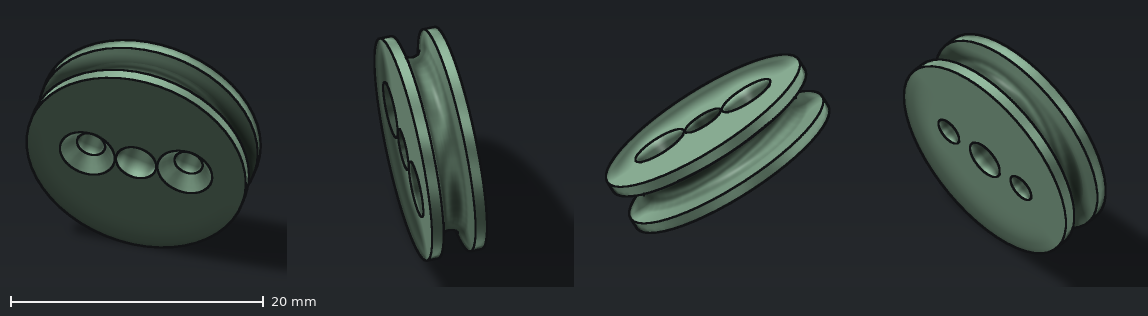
import cadquery as cq
import math

wheel_diameter = 18.0
wheel_width = 4.5

groove_radius = 1.0
groove_bottom_diameter = 14.0
groove_wall_angle = math.radians(15.0)

axle_hole_diameter = 3.3
screw_hole_diameter = 2.3
screw_hole_offset = 4.0
countersink_diameter = 4.5
countersink_angle = math.radians(90.0)

rim_radius = wheel_diameter / 2
front_face_y = -wheel_width / 2


def make_wheel():
    """Revolve the half section, drawn as (radius, Y), about the Y axis."""
    half_width = wheel_width / 2
    groove_bottom = groove_bottom_diameter / 2
    groove_center = groove_bottom + groove_radius
    tangent_radius = groove_center - groove_radius * math.sin(groove_wall_angle)
    tangent_y = groove_radius * math.cos(groove_wall_angle)
    groove_mouth_y = tangent_y + (rim_radius - tangent_radius) * math.tan(groove_wall_angle)

    section = (
        cq.Workplane("XY")
        .moveTo(0, -half_width)
        .lineTo(rim_radius, -half_width)
        .lineTo(rim_radius, -groove_mouth_y)
        .lineTo(tangent_radius, -tangent_y)
        .threePointArc((groove_bottom, 0), (tangent_radius, tangent_y))
        .lineTo(rim_radius, groove_mouth_y)
        .lineTo(rim_radius, half_width)
        .lineTo(0, half_width)
        .close()
    )
    return section.revolve(360, (0, 0, 0), (0, 1, 0))


def make_through_hole(x, diameter):
    """Cylinder through the full width of the wheel."""
    start = cq.Vector(x, front_face_y, 0)
    return cq.Solid.makeCylinder(diameter / 2, wheel_width, start, cq.Vector(0, 1, 0))


def make_countersink(x):
    """Cone narrowing from the front face down to the screw hole."""
    outer_radius = countersink_diameter / 2
    inner_radius = screw_hole_diameter / 2
    depth = (outer_radius - inner_radius) / math.tan(countersink_angle / 2)
    start = cq.Vector(x, front_face_y, 0)
    return cq.Solid.makeCone(outer_radius, inner_radius, depth, start, cq.Vector(0, 1, 0))


result = make_wheel().cut(make_through_hole(0, axle_hole_diameter))
for screw_x in (-screw_hole_offset, screw_hole_offset):
    result = result.cut(make_through_hole(screw_x, screw_hole_diameter))
    result = result.cut(make_countersink(screw_x))